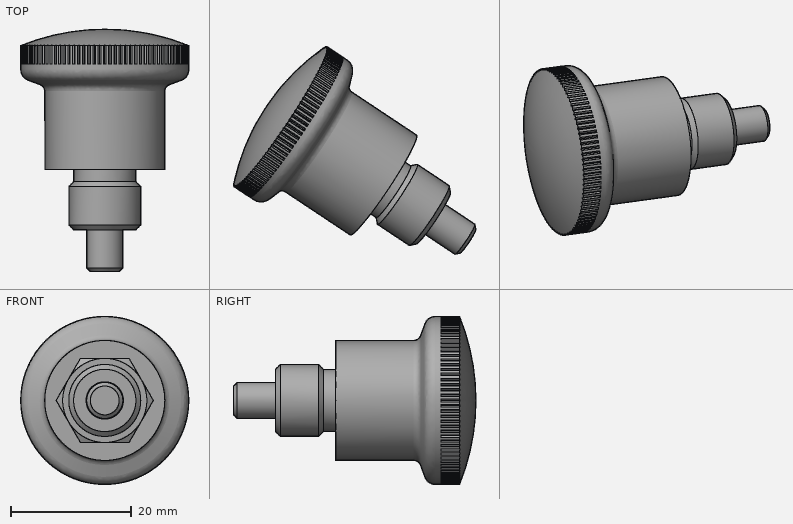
import cadquery as cq
import math


knob_dia = 28.0
sleeve_dia = 20.0
cone_start = 13.85
cone_slope = 20
sleeve_fillet = 1.2
head_fillet = 1.85
dome_start = 20.65
dome_top = 23.4

groove_count = 100
groove_start = 17.55
groove_width = 0.45
groove_depth = 0.2

pin_dia = 6.0
pin_tip = -17.0
pin_chamfer = 0.6

hex_flats = 14.0
hex_length = 6.0
hex_chamfer_slope = 30
neck_dia = 10.4
neck_end = -2.0
collar_dia = 12.0
collar_end = -10.0
bore_dia = 6.2

knob_r = knob_dia / 2
sleeve_r = sleeve_dia / 2
hex_corner_dia = hex_flats / math.cos(math.radians(30))
cone_end = cone_start + (knob_r - sleeve_r) * math.tan(math.radians(cone_slope))
dome_height = dome_top - dome_start
dome_radius = (knob_r**2 + dome_height**2) / (2 * dome_height)


def rod(diameter, y_low, y_high):
    """Cylinder along the Y axis between two Y positions."""
    return cq.Workplane("XZ", origin=(0, y_high, 0)).circle(diameter / 2).extrude(y_high - y_low)


def hex_prism():
    """Hexagonal prism running into the sleeve from its face, with two corners on the X axis."""
    return cq.Workplane("XZ").polygon(6, hex_corner_dia).extrude(-hex_length)


def circle_at(radius, y):
    """Selector for the circular edge with the given radius at the given Y."""
    reach = radius + 0.4
    margin = 0.005
    low_corner = (-reach, y - margin, -reach)
    high_corner = (reach, y + margin, reach)
    return cq.selectors.BoxSelector(low_corner, high_corner, boundingbox=True)


def knob_blank():
    """Sleeve, conical shoulder and domed head as one turned shape with rounded shoulder corners."""
    mid_angle = math.asin(knob_r / dome_radius) / 2
    dome_mid = (
        dome_radius * math.sin(mid_angle),
        dome_top - dome_radius * (1 - math.cos(mid_angle)),
    )
    blank = (
        cq.Workplane("XY")
        .lineTo(sleeve_r, 0)
        .lineTo(sleeve_r, cone_start)
        .lineTo(knob_r, cone_end)
        .lineTo(knob_r, dome_start)
        .threePointArc(dome_mid, (0, dome_top))
        .close()
        .revolve(360, (0, 0, 0), (0, 1, 0))
    )
    blank = blank.edges(circle_at(sleeve_r, cone_start)).fillet(sleeve_fillet)
    return blank.edges(circle_at(knob_r, cone_end)).fillet(head_fillet)


def knurl_grooves():
    """V-shaped grooves around the rim, each open toward the dome."""
    groove = (
        cq.Workplane("XZ", origin=(0, dome_top, 0))
        .moveTo(knob_r - groove_depth, 0)
        .lineTo(knob_r + groove_depth, groove_width)
        .lineTo(knob_r + groove_depth, -groove_width)
        .close()
        .extrude(dome_top - groove_start)
        .val()
    )
    step = 360 / groove_count
    return [groove.rotate((0, 0, 0), (0, 1, 0), i * step) for i in range(groove_count)]


def make_knob():
    """Knurled knob with a hexagonal recess, and the pin standing on the recess floor."""
    pin = rod(pin_dia, pin_tip, hex_length).faces("<Y").chamfer(pin_chamfer)
    head = knob_blank().cut(hex_prism())
    knurled = cq.Workplane(head.val().cut(*knurl_grooves()))
    return knurled.union(pin)


def hex_base():
    """Hexagonal prism whose corners are bevelled at the sleeve face down to the flats' circle."""
    flats_r = hex_flats / 2
    bevel_r = hex_corner_dia / 2
    bevel_depth = (bevel_r - flats_r) * math.tan(math.radians(hex_chamfer_slope))
    envelope = (
        cq.Workplane("XY")
        .lineTo(flats_r, 0)
        .lineTo(bevel_r, bevel_depth)
        .lineTo(bevel_r, hex_length)
        .lineTo(0, hex_length)
        .close()
        .revolve(360, (0, 0, 0), (0, 1, 0))
    )
    return hex_prism().intersect(envelope)


def make_guide():
    """Guide with a hexagonal base, a neck, a collar chamfered at both ends and a through bore."""
    collar_chamfer = (collar_dia - neck_dia) / 2
    neck = rod(neck_dia, neck_end, 0)
    collar = rod(collar_dia, collar_end, neck_end).faces("<Y or >Y").chamfer(collar_chamfer)
    return hex_base().union(neck).union(collar).cut(rod(bore_dia, collar_end, hex_length))


knob = make_knob()
guide = make_guide()
result = cq.Compound.makeCompound([knob.val(), guide.val()])